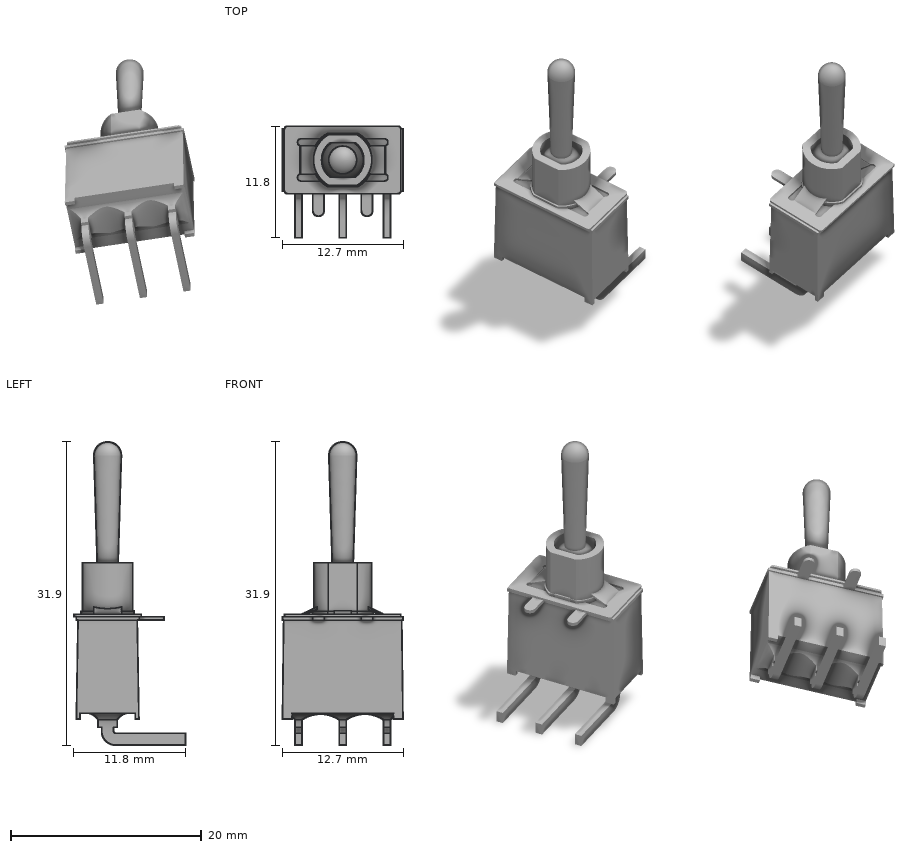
import cadquery as cq
import math


lead_pitch = 4.65
lead_width = 0.75
lead_leg = 1.28
lead_bend_radius = 0.2
lead_tip_y = -8.2
shoulder_depth = 2.05
shoulder_z = 1.88

case_bottom_z = 2.75
case_top_z = 13.15
case_bottom_size = (12.7, 6.6)
case_top_size = (12.45, 6.25)
foot_length = 1.02
foot_thickness = 0.4
foot_height = 0.6
case_floor_z = case_bottom_z + foot_height

resin_bottom_z = 2.68
resin_crest_z = 3.25
resin_base_length = 12.13
resin_base_depth = 3.95
resin_flank_bow = 0.13

flange_thickness = 0.38
plate_bottom_z = case_top_z + flange_thickness
tab_spacing = 5.1
tab_width = 1.2
tab_tip_y = -5.95

plate_size = (12.25, 7.1)
plate_thickness = 0.25
plate_corner_radius = 0.32
plate_top_z = plate_bottom_z + plate_thickness
slot_start_x = 2.07
slot_end_x = 4.75
slot_width = 0.73
slot_corner_radius = 0.35
wing_root_x = 4.53
wing_ledge = 0.1
wing_root_drop = 0.05
wing_tip_x = 2.68
wing_tip_z = 14.55
wing_width = 2.97
wing_thickness = 0.25

bushing_radius = 3.05
bushing_flats = 5.33
bushing_top_z = 19.2
collar_margin = 0.15
collar_height = 0.3
collar_top_z = plate_top_z + collar_height
key_width = 1.8
key_rise = 0.1
key_top_z = collar_top_z + key_rise
key_gap = 0.1
bore_radius = 2.23
bore_flats = 3.6

lever_top_z = 31.9
lever_ball_radius = 1.47
lever_neck_radius = 1.12
lever_neck_z = 19.02
pivot_radius = 2.17
pivot_z = lever_neck_z - math.sqrt(pivot_radius**2 - lever_neck_radius**2)

diagonal = math.sqrt(0.5)


def block(x_min, x_max, y_min, y_max, z_min, z_max):
    size = (x_max - x_min, y_max - y_min, z_max - z_min)
    return cq.Workplane("XY").box(*size, centered=False).translate((x_min, y_min, z_min))


def centered_block(length, depth, z_min, z_max):
    return block(-length / 2, length / 2, -depth / 2, depth / 2, z_min, z_max)


def flatted_cylinder(radius, flats, z_min, z_max):
    """Upright cylinder with two flats facing +Y and -Y."""
    cylinder = cq.Workplane("XY").workplane(offset=z_min).circle(radius).extrude(z_max - z_min)
    return cylinder.intersect(centered_block(2 * radius, flats, z_min, z_max))


def make_case():
    """Tapered case that stands on four corner feet."""
    body = (
        cq.Workplane("XY")
        .workplane(offset=case_bottom_z)
        .rect(*case_bottom_size)
        .workplane(offset=case_top_z - case_bottom_z)
        .rect(*case_top_size)
        .loft(ruled=True)
    )
    length, depth = case_bottom_size
    long_gap = centered_block(length - 2 * foot_length, depth, case_bottom_z, case_floor_z)
    short_gap = centered_block(length, depth - 2 * foot_thickness, case_bottom_z, case_floor_z)
    return body.cut(long_gap).cut(short_gap)


def make_resin():
    """Resin bed, arched between the leads and narrowing downward on concave flanks."""
    half_length = resin_base_length / 2
    half_base = resin_base_depth / 2
    half_foot = shoulder_depth / 2
    lead_half = lead_width / 2
    outer_x = lead_pitch + lead_half
    arches = (
        cq.Workplane("XZ")
        .moveTo(-half_length, case_floor_z)
        .sagittaArc((-outer_x, resin_bottom_z), resin_flank_bow)
        .lineTo(-lead_pitch + lead_half, resin_bottom_z)
        .threePointArc((-lead_pitch / 2, resin_crest_z), (-lead_half, resin_bottom_z))
        .lineTo(lead_half, resin_bottom_z)
        .threePointArc((lead_pitch / 2, resin_crest_z), (lead_pitch - lead_half, resin_bottom_z))
        .lineTo(outer_x, resin_bottom_z)
        .sagittaArc((half_length, case_floor_z), resin_flank_bow)
        .close()
        .extrude(half_base, both=True)
    )
    flanks = (
        cq.Workplane("YZ")
        .moveTo(-half_base, case_floor_z)
        .sagittaArc((-half_foot, resin_bottom_z), resin_flank_bow)
        .lineTo(half_foot, resin_bottom_z)
        .sagittaArc((half_base, case_floor_z), resin_flank_bow)
        .close()
        .extrude(half_length, both=True)
    )
    return arches.intersect(flanks)


def make_lead(x):
    """Lead with a wide shoulder, bent square towards -Y."""
    half = lead_leg / 2
    outer_radius = lead_bend_radius + lead_leg
    center_y = -half - lead_bend_radius
    center_z = outer_radius
    leg = (
        cq.Workplane("YZ")
        .moveTo(half, case_floor_z)
        .lineTo(half, center_z)
        .threePointArc(
            (center_y + outer_radius * diagonal, center_z - outer_radius * diagonal),
            (center_y, 0),
        )
        .lineTo(lead_tip_y, 0)
        .lineTo(lead_tip_y, lead_leg)
        .lineTo(center_y, lead_leg)
        .threePointArc(
            (center_y + lead_bend_radius * diagonal, center_z - lead_bend_radius * diagonal),
            (-half, center_z),
        )
        .lineTo(-half, case_floor_z)
        .close()
        .extrude(lead_width / 2, both=True)
    )
    shoulder = centered_block(lead_width, shoulder_depth, shoulder_z, case_floor_z)
    return leg.union(shoulder).translate((x, 0, 0))


def make_flange():
    """Flange on top of the case, with two round-ended tabs towards -Y."""
    flange = centered_block(*case_bottom_size, case_top_z, plate_bottom_z)
    tab = block(-tab_width / 2, tab_width / 2, tab_tip_y, 0, case_top_z, plate_bottom_z)
    tip_center_y = tab_tip_y + tab_width / 2
    tip_zone = block(-tab_width, tab_width, tab_tip_y, tip_center_y, case_top_z, plate_bottom_z)
    tip = (
        cq.Workplane("XY")
        .workplane(offset=case_top_z)
        .center(0, tip_center_y)
        .circle(tab_width / 2)
        .extrude(flange_thickness)
    )
    tab = tab.cut(tip_zone).union(tip)
    for x in (-tab_spacing / 2, tab_spacing / 2):
        flange = flange.union(tab.translate((x, 0, 0)))
    return flange


def make_plate():
    """Cover plate with wings bent up from slotted windows against the bushing."""
    plate = centered_block(*plate_size, plate_bottom_z, plate_top_z)
    plate = plate.edges("|Z").fillet(plate_corner_radius)
    slot_y = wing_width / 2
    slot = block(
        slot_start_x, slot_end_x, slot_y, slot_y + slot_width, plate_bottom_z, plate_top_z
    )
    slot = slot.edges("|Z and >X").fillet(slot_corner_radius)
    window = block(wing_tip_x, wing_root_x, -slot_y, slot_y, plate_bottom_z, plate_top_z)
    opening = window.union(slot).union(slot.mirror("XZ"))
    wing = (
        cq.Workplane("XZ")
        .polyline([
            (wing_root_x, plate_bottom_z),
            (wing_root_x, plate_top_z - wing_root_drop),
            (wing_root_x - wing_ledge, plate_top_z - wing_root_drop),
            (wing_tip_x, wing_tip_z),
            (wing_tip_x, wing_tip_z - wing_thickness),
            (wing_root_x - wing_ledge, plate_bottom_z),
        ])
        .close()
        .extrude(slot_y, both=True)
    )
    plate = plate.cut(opening).cut(opening.mirror("YZ"))
    return plate.union(wing).union(wing.mirror("YZ"))


def make_bushing():
    """Flatted bushing with a collar at its foot, a front key and a flatted bore."""
    bushing = flatted_cylinder(bushing_radius, bushing_flats, plate_bottom_z, bushing_top_z)
    collar_flats = bushing_flats + 2 * collar_margin
    collar = flatted_cylinder(
        bushing_radius + collar_margin, collar_flats, plate_bottom_z, collar_top_z
    )
    key = block(-key_width / 2, key_width / 2, -collar_flats / 2, 0, plate_top_z, key_top_z)
    bore = flatted_cylinder(bore_radius, bore_flats, pivot_z, bushing_top_z)
    return bushing.union(collar).union(key).cut(bore)


def make_key_gap():
    """Narrow gap in the front of the collar and plate, on one side of the key."""
    collar_y = bushing_flats / 2 + collar_margin
    collar_flat_end = math.sqrt((bushing_radius + collar_margin)**2 - collar_y**2)
    return block(
        key_width / 2, collar_flat_end, -collar_y, -collar_y + key_gap, plate_bottom_z, key_top_z
    )


def make_lever():
    """Tapered lever with a ball end, rising from a pivot ball inside the bore."""
    ball_z = lever_top_z - lever_ball_radius
    shaft = (
        cq.Workplane("XZ")
        .moveTo(0, pivot_z)
        .lineTo(lever_neck_radius, pivot_z)
        .lineTo(lever_neck_radius, lever_neck_z)
        .lineTo(lever_ball_radius, ball_z)
        .threePointArc(
            (lever_ball_radius * diagonal, ball_z + lever_ball_radius * diagonal), (0, lever_top_z)
        )
        .close()
        .revolve(360, (0, 0, 0), (0, 1, 0))
    )
    pivot = cq.Workplane("XY").sphere(pivot_radius).translate((0, 0, pivot_z))
    bore_space = centered_block(2 * pivot_radius, bore_flats, pivot_z - pivot_radius, bushing_top_z)
    return shaft.union(pivot.intersect(bore_space))


result = make_case().union(make_resin()).union(make_flange()).union(make_plate())
for lead_x in (-lead_pitch, 0, lead_pitch):
    result = result.union(make_lead(lead_x))
result = result.union(make_bushing()).union(make_lever())
key_side_gap = make_key_gap()
result = result.cut(key_side_gap).cut(key_side_gap.mirror("YZ"))